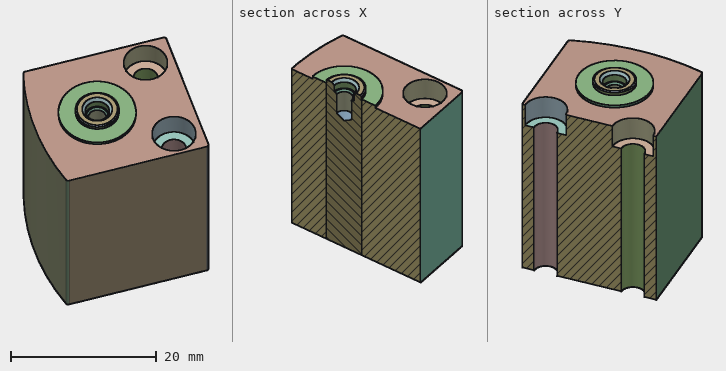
import cadquery as cq
import math

width = 20.0
depth = 21.95
overall_height = 28.5
front_radius = 35.0
corner_radius = 0.4

collar_diameter = 10.7
collar_height = 0.4
rod_diameter = 6.0
rod_protrusion = 0.6
rod_chamfer_height = 0.15
rod_chamfer_width = 0.23
rod_from_back = 13.0
body_height = overall_height - collar_height - rod_protrusion
collar_top = body_height + collar_height

hole_spacing = 13.0
hole_from_back = 4.0
hole_diameter = 3.4
counterbore_diameter = 6.0
counterbore_depth = 3.42

mouth_diameter = 4.13
socket_diameter = 3.3
socket_depth = 1.48
mouth_chamfer = (mouth_diameter - socket_diameter) / 2
pilot_mouth_diameter = 3.02
pilot_diameter = 2.45
pilot_chamfer = (pilot_mouth_diameter - pilot_diameter) / 2
pilot_depth = 5.13
drill_point_angle = 118.0
drill_point_depth = pilot_diameter / 2 / math.tan(math.radians(drill_point_angle / 2))

back_y = rod_from_back
front_y = back_y - depth
hole_y = back_y - hole_from_back
half_width = width / 2
front_sagitta = front_radius - math.sqrt(front_radius**2 - half_width**2)


def make_housing():
    """Block with a bowed front, rounded corners, a collar, mounting holes and a bore for the rod."""
    block = (
        cq.Workplane("XY")
        .moveTo(-half_width, back_y)
        .lineTo(-half_width, front_y + front_sagitta)
        .threePointArc((0, front_y), (half_width, front_y + front_sagitta))
        .lineTo(half_width, back_y)
        .close()
        .extrude(body_height)
        .edges("|Z")
        .fillet(corner_radius)
    )
    collar = cq.Workplane("XY").workplane(offset=body_height).circle(collar_diameter / 2).extrude(collar_height)
    mounting_holes = (
        block.faces(">Z")
        .workplane(origin=(0, hole_y, body_height))
        .pushPoints([(-hole_spacing / 2, 0), (hole_spacing / 2, 0)])
        .cboreHole(hole_diameter, counterbore_diameter, counterbore_depth)
    )
    rod_bore = cq.Workplane("XY").circle(rod_diameter / 2).extrude(collar_top)
    return mounting_holes.union(collar).cut(rod_bore)


def make_socket():
    """Revolved cutter: chamfered mouth, bore, chamfered pilot hole and drill point."""
    mouth_bottom = overall_height - mouth_chamfer
    step = overall_height - socket_depth
    pilot_bottom = overall_height - pilot_depth
    return (
        cq.Workplane("XZ")
        .moveTo(0, overall_height)
        .lineTo(mouth_diameter / 2, overall_height)
        .lineTo(socket_diameter / 2, mouth_bottom)
        .lineTo(socket_diameter / 2, step)
        .lineTo(pilot_mouth_diameter / 2, step)
        .lineTo(pilot_diameter / 2, step - pilot_chamfer)
        .lineTo(pilot_diameter / 2, pilot_bottom)
        .lineTo(0, pilot_bottom - drill_point_depth)
        .close()
        .revolve()
    )


def make_rod():
    """Rod through the housing, chamfered and socketed at its upper end."""
    rod = cq.Workplane("XY").circle(rod_diameter / 2).extrude(overall_height)
    return rod.faces(">Z").edges().chamfer(rod_chamfer_height, rod_chamfer_width).cut(make_socket())


housing = make_housing()
rod = make_rod()
result = cq.Compound.makeCompound([housing.val(), rod.val()])